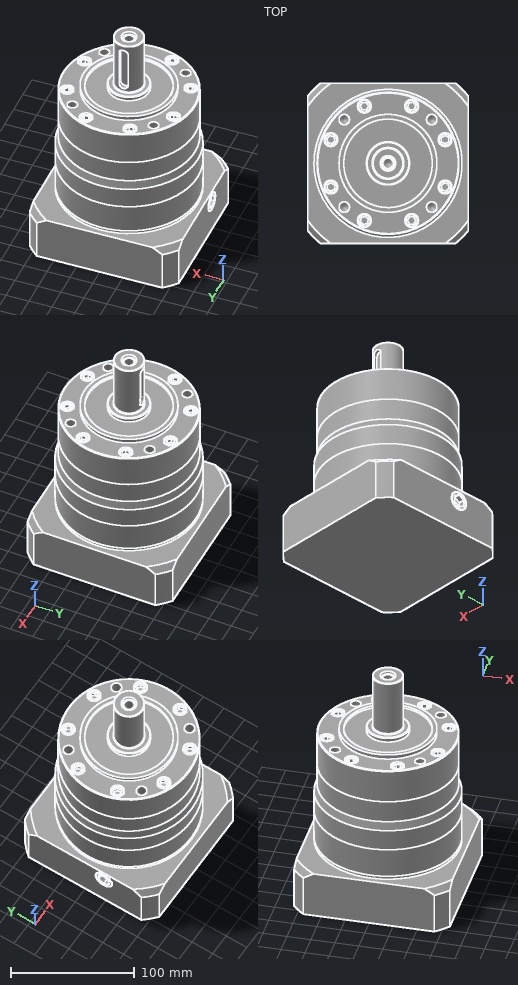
import cadquery as cq
import math

flange_top = 40.2
adapter_top = 43.0
lower_stage_top = 68.5
cone_bottom = 87.0
cone_top = 94.0
upper_stage_top = 113.3
face_level = 143.0
pilot_top = 147.0
collar_top = 149.0
shaft_end = 198.0

flange_width = 130.0
flange_corner_radius = 85.0
corner_bevel = 5.1

lower_diameter = 120.0
upper_diameter = 115.0
pilot_diameter = 79.4
pilot_recess_diameter = 71.7
pilot_recess_depth = 2.0
collar_diameter = 35.0
shaft_diameter = 25.0
rim_chamfer = 0.5

shaft_foot_flare = 0.4
shaft_foot_height = 0.8
shaft_end_chamfer = 0.4

keyway_width = 8.0
keyway_length = 40.0
keyway_depth = 4.0
keyway_end_gap = 5.0

center_mouth_diameter = 12.5
center_mouth_floor_diameter = 10.5
center_mouth_depth = 2.0
center_drill_diameter = 8.5
center_drill_depth = 27.7

bolt_circle_radius = 50.0
screw_count = 8
first_screw_angle = 22.5
screw_bore_diameter = 11.0
screw_bore_depth = 4.0
screw_head_diameter = 9.5
screw_head_drop = 1.0
screw_hex_flats = 6.0
screw_socket_depth = 4.0
screw_hex_turn = 7.5
mounting_hole_count = 4
first_mounting_hole_angle = 45.0
mounting_hole_diameter = 8.5
mounting_hole_depth = 19.8
drill_point_angle = 118.0

plug_y = -18.0
plug_z = 29.5
plug_bore_diameter = 16.0
plug_diameter = 15.5
plug_gap_depth = 1.0
plug_hex_flats = 10.0
plug_socket_depth = 5.3


def revolved(profile):
    """Solid of revolution about Z from (radius, level) points, starting on the -X side."""
    points = [(-radius, level) for radius, level in profile]
    return cq.Workplane("XZ").polyline(points).close().revolve(360, (0, 0, 0), (0, 1, 0))


def cylinder(diameter, bottom, top):
    """Cylinder on the Z axis between two levels."""
    radius = diameter / 2
    return revolved([(0, bottom), (radius, bottom), (radius, top), (0, top)])


def hex_corner_diameter(flats):
    """Diameter across the corners of a hexagon, from its width across the flats."""
    return flats / math.cos(math.pi / 6)


def drilled_hole(diameter, depth, top):
    """Cutter for a blind hole on the Z axis with a conical drill point."""
    radius = diameter / 2
    point_length = radius / math.tan(math.radians(drill_point_angle / 2))
    floor = top - depth
    return revolved([(0, top), (radius, top), (radius, floor), (0, floor - point_length)])


def on_bolt_circle(cutter, angle):
    """Move a cutter from the Z axis to an angle on the bolt circle, turning it along."""
    return cutter.translate((bolt_circle_radius, 0, 0)).rotate((0, 0, 0), (0, 0, 1), angle)


def screw_cutter():
    """Counterbore that leaves a sunken screw head with a hexagon socket standing in it."""
    bore_floor = face_level - screw_bore_depth
    head_top = face_level - screw_head_drop
    bore = cylinder(screw_bore_diameter, bore_floor, face_level)
    head = cylinder(screw_head_diameter, bore_floor, head_top)
    socket = (
        cq.Workplane("XY", origin=(0, 0, head_top))
        .polygon(6, hex_corner_diameter(screw_hex_flats))
        .extrude(-screw_socket_depth)
        .rotate((0, 0, 0), (0, 0, 1), screw_hex_turn)
    )
    return bore.cut(head).union(socket)


def center_hole_cutter():
    """Centre hole: tapered mouth with a flat floor, then a tapping drill."""
    mouth_radius = center_mouth_diameter / 2
    floor_radius = center_mouth_floor_diameter / 2
    mouth_floor = shaft_end - center_mouth_depth
    mouth = revolved(
        [
            (0, shaft_end),
            (mouth_radius, shaft_end),
            (floor_radius, mouth_floor),
            (0, mouth_floor),
        ]
    )
    return mouth.union(drilled_hole(center_drill_diameter, center_drill_depth, shaft_end))


def keyway_cutter():
    """Round-ended keyway sunk into the +Y side of the shaft."""
    middle_level = shaft_end - keyway_end_gap - keyway_length / 2
    floor_y = shaft_diameter / 2 - keyway_depth
    return (
        cq.Workplane("XZ", origin=(0, floor_y, middle_level))
        .slot2D(keyway_length, keyway_width, 90)
        .extrude(-2 * keyway_depth)
    )


def make_output_body():
    """Front housing with pilot, seal collar, output shaft and the screws in its face."""
    upper_radius = upper_diameter / 2
    pilot_radius = pilot_diameter / 2
    recess_radius = pilot_recess_diameter / 2
    recess_floor = pilot_top - pilot_recess_depth
    collar_radius = collar_diameter / 2
    shaft_radius = shaft_diameter / 2
    body = revolved(
        [
            (0, upper_stage_top),
            (upper_radius, upper_stage_top),
            (upper_radius, face_level - rim_chamfer),
            (upper_radius - rim_chamfer, face_level),
            (pilot_radius, face_level),
            (pilot_radius, pilot_top),
            (recess_radius, pilot_top),
            (recess_radius, recess_floor),
            (collar_radius, recess_floor),
            (collar_radius, collar_top - rim_chamfer),
            (collar_radius - rim_chamfer, collar_top),
            (shaft_radius + shaft_foot_flare, collar_top),
            (shaft_radius, collar_top + shaft_foot_height),
            (shaft_radius, shaft_end - shaft_end_chamfer),
            (shaft_radius - shaft_end_chamfer, shaft_end),
            (0, shaft_end),
        ]
    )
    body = body.cut(center_hole_cutter()).cut(keyway_cutter())
    for index in range(screw_count):
        angle = first_screw_angle + index * 360 / screw_count
        body = body.cut(on_bolt_circle(screw_cutter(), angle))
    for index in range(mounting_hole_count):
        angle = first_mounting_hole_angle + index * 360 / mounting_hole_count
        hole = drilled_hole(mounting_hole_diameter, mounting_hole_depth, face_level)
        body = body.cut(on_bolt_circle(hole, angle))
    return body


def make_upper_stage():
    """Ring housing that tapers from the lower to the upper diameter."""
    return revolved(
        [
            (0, lower_stage_top),
            (lower_diameter / 2, lower_stage_top),
            (lower_diameter / 2, cone_bottom),
            (upper_diameter / 2, cone_top),
            (upper_diameter / 2, upper_stage_top),
            (0, upper_stage_top),
        ]
    )


def make_lower_stage():
    """Plain cylindrical ring housing."""
    return cylinder(lower_diameter, adapter_top, lower_stage_top)


def plug_disc(diameter, depth):
    """Disc on the plug axis, reaching inward from the -X side."""
    return (
        cq.Workplane("YZ", origin=(-flange_width / 2, plug_y, plug_z))
        .circle(diameter / 2)
        .extrude(depth)
    )


def make_adapter():
    """Square motor flange with turned, beveled corners, a round spigot and an access plug."""
    square = cq.Workplane("XY").rect(flange_width, flange_width).extrude(flange_top)
    turned_envelope = revolved(
        [
            (0, 0),
            (flange_corner_radius, 0),
            (flange_corner_radius, flange_top - corner_bevel),
            (flange_corner_radius - corner_bevel, flange_top),
            (0, flange_top),
        ]
    )
    spigot = cylinder(lower_diameter, flange_top, adapter_top)
    plug_gap = plug_disc(plug_bore_diameter, plug_gap_depth).cut(plug_disc(plug_diameter, plug_gap_depth))
    plug_socket = (
        cq.Workplane("YZ", origin=(-flange_width / 2, plug_y, plug_z))
        .transformed(rotate=(0, 0, 90))
        .polygon(6, hex_corner_diameter(plug_hex_flats))
        .extrude(plug_socket_depth)
    )
    return square.intersect(turned_envelope).union(spigot).cut(plug_gap).cut(plug_socket)


output_body = make_output_body()
upper_stage = make_upper_stage()
lower_stage = make_lower_stage()
adapter = make_adapter()

bodies = [output_body, upper_stage, lower_stage, adapter]
result = cq.Compound.makeCompound([body.solids().val() for body in bodies])